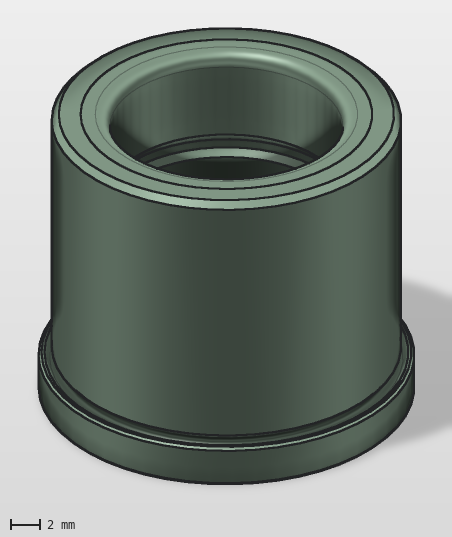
import cadquery as cq
import math

collar_radius = 12.9
height = 22.0
collar_height = 3.0
collar_chamfer = 0.2
body_radius = 12.0
body_chamfer = 0.5

undercut_reach = 0.5
undercut_wall_run = 0.35

liner_radius = 10.0
bore_radius = 8.0
bore_fillet = 1.0

groove_bottom = 13.8
groove_top = 15.6
groove_depth = 0.5
groove_upper_slope = 0.67
groove_lower_slope = 0.5


def revolve_about_z(profile):
    """Turn a closed (radius, height) profile into a solid of revolution."""
    return profile.close().revolve(360, (0, 0, 0), (0, 1, 0))


def make_housing():
    """Collared sleeve with an undercut corner and a plain through-bore for the liner."""
    lower_wall_end = (body_radius + undercut_reach - undercut_wall_run, collar_height - undercut_wall_run)
    upper_wall_end = (body_radius - undercut_wall_run, collar_height + undercut_reach - undercut_wall_run)
    slot_floor = (upper_wall_end[0], lower_wall_end[1])

    profile = (
        cq.Workplane("XZ")
        .moveTo(liner_radius, 0)
        .lineTo(collar_radius - collar_chamfer, 0)
        .lineTo(collar_radius, collar_chamfer)
        .lineTo(collar_radius, collar_height - collar_chamfer)
        .lineTo(collar_radius - collar_chamfer, collar_height)
        .lineTo(body_radius + undercut_reach, collar_height)
        .lineTo(*lower_wall_end)
        .threePointArc(slot_floor, upper_wall_end)
        .lineTo(body_radius, collar_height + undercut_reach)
        .lineTo(body_radius, height - body_chamfer)
        .lineTo(body_radius - body_chamfer, height)
        .lineTo(liner_radius, height)
    )
    return revolve_about_z(profile)


def make_liner():
    """Bearing liner with a rounded bore entry and a groove around the bore."""
    arc_offset = bore_fillet * (1 - math.sqrt(0.5))
    groove_radius = bore_radius + groove_depth

    profile = (
        cq.Workplane("XZ")
        .moveTo(bore_radius, 0)
        .lineTo(liner_radius, 0)
        .lineTo(liner_radius, height)
        .lineTo(bore_radius + bore_fillet, height)
        .threePointArc(
            (bore_radius + arc_offset, height - arc_offset),
            (bore_radius, height - bore_fillet),
        )
        .lineTo(bore_radius, groove_top)
        .lineTo(groove_radius, groove_top - groove_upper_slope)
        .lineTo(groove_radius, groove_bottom + groove_lower_slope)
        .lineTo(bore_radius, groove_bottom)
    )
    return revolve_about_z(profile)


housing = make_housing()
liner = make_liner()

result = cq.Compound.makeCompound([housing.val(), liner.val()])